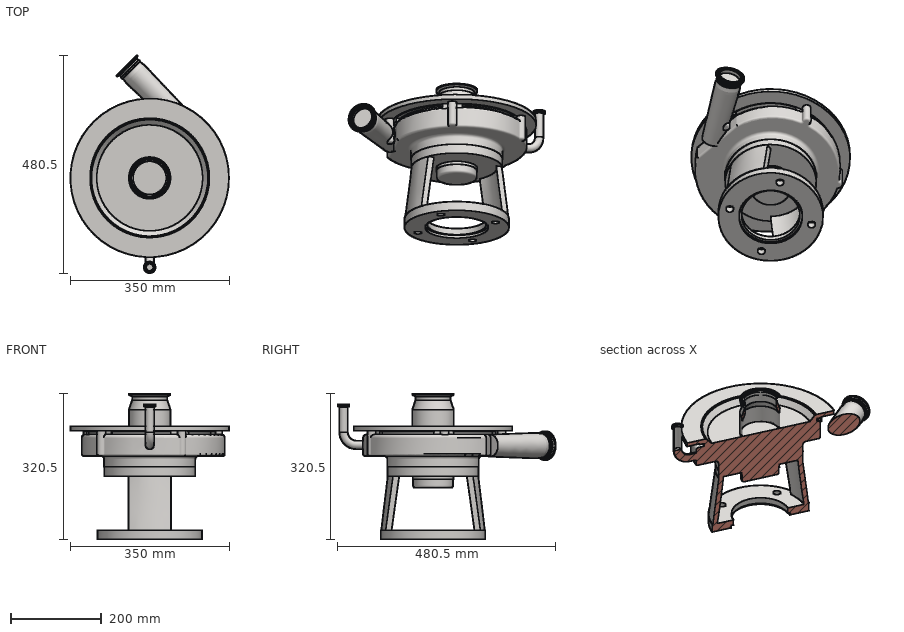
import cadquery as cq
import math

FOOT_TOP = 20.5
HUB_BOTTOM = 113.5
COLLAR_BOTTOM = 139.0
COLLAR_SPLIT = 159.5
CASING_BOTTOM = 183.5
CASING_TOP = 231.0
LID_BOTTOM = 239.0
LID_TOP = 249.5
INLET_TOP = 320.5

FOOT_RADIUS = 115.5
FOOT_BORE_RADIUS = 64.5
FOOT_RECESS_RADIUS = 69.5
FOOT_RECESS_DEPTH = 6.2
BOLT_HOLE_RADIUS = 8.0
BOLT_CIRCLE_RADIUS = 92.5
BOLT_HOLES = 4
BOLT_START_ANGLE = 45.0
LEG_WIDTH = 94.0
LEG_WALL = 12.0
LEG_RADIUS_BOTTOM = 114.5
LEG_RADIUS_TOP = 100.0

COLLAR_RADIUS = 101.0
COLLAR_LOWER_RADIUS = 100.5
COLLAR_FILLET = 6.5
HUB_RADIUS = 45.0
HUB_RADIUS_BOTTOM = 44.0
HUB_STEP = 132.0
HUB_FILLET = 5.5

CASING_BACK = 142.5
CASING_FRONT = 154.2
CASING_LEFT = 150.0
CASING_RIGHT = 166.0
CASING_ARC_JOIN_X = -1.5
CASING_RIGHT_Y = 3.5
CASING_END_REACH = 166.0
CASING_TOP_FILLET = 7.5
CASING_BOTTOM_FILLET = 5.0
SPIGOT_RADIUS = 134.5
SPIGOT_FLANGE_RADIUS = 145.0
SPIGOT_FLANGE_HEIGHT = 2.0
BOSS_RADIUS = 9.5
BOSS_CIRCLE_RADIUS = 152.5
BOSSES = 5
BOSS_START_ANGLE = 9.5
BOSS_SIDE_FILLET = 3.0
PAD_RADIUS = 24.0

LID_RADIUS = 175.0
DISH_RADIUS_TOP = 131.5
DISH_RADIUS_MIDDLE = 128.5
DISH_RADIUS_FLOOR = 117.0
DISH_EDGE_DEPTH = 1.5
DISH_FLOOR = 234.5

INLET_RADIUS = 46.0
INLET_NECK_RADIUS = 39.0
INLET_FLANGE_RADIUS = 45.5
INLET_SHOULDER = 286.0
INLET_NECK_BOTTOM = 307.0
INLET_NECK_TOP = 314.7
INLET_BORE_RADIUS = 36.5
INLET_WALL = 3.0
INLET_BORE_STEP = 291.0
INLET_BORE_SHOULDER = 275.0

OUTLET_ANGLE = 135.0
OUTLET_OFFSET = 139.5
OUTLET_HEIGHT = 206.5
OUTLET_START = 38.5
OUTLET_END = 211.0
OUTLET_FLANGE_RADIUS = 32.0
OUTLET_BORE_RADIUS = 23.5
OUTLET_BORE_DEPTH = 9.0
OUTLET_START_RADIUS = 24.5
OUTLET_BAND_RADIUS = 28.5
OUTLET_NECK_RADIUS = 27.0
OUTLET_BEAD_RADIUS = 28.0
OUTLET_BAND_START = 178.5
OUTLET_BAND_END = 185.5
OUTLET_NECK_START = 192.5
OUTLET_BEAD_START = 196.5
OUTLET_BEAD_END = 201.0

TUBE_RADIUS = 9.5
TUBE_BORE_RADIUS = 7.5
TUBE_HEIGHT = 208.0
TUBE_REACH = 197.0
TUBE_BEND_RADIUS = 28.5
TUBE_TOP = 297.5
TUBE_START = 144.0
TUBE_FLANGE_RADIUS = 13.0
TUBE_FLANGE_THICKNESS = 4.5
TUBE_FLANGE_CONE = 2.0

RIM_THICKNESS = 2.5
GROOVE_DEPTH = 1.0
INLET_GROOVE_RADII = (40.5, 43.2)
OUTLET_GROOVE_RADII = (27.0, 29.5)
TUBE_GROOVE_RADII = (9.5, 11.5)


def disc(radius, bottom, top, x=0.0, y=0.0):
    """Upright cylinder between two heights."""
    return cq.Workplane("XY", origin=(x, y, bottom)).circle(radius).extrude(top - bottom)


def revolve_profile(points):
    """Solid of revolution about Z from (radius, height) points."""
    return cq.Workplane("XZ").polyline(points).close().revolve(360, (0, 0, 0), (0, 1, 0))


def seal_groove(radii, top):
    """Ring to be cut from a flange face at the given height."""
    inner, outer = radii
    return disc(outer, top - GROOVE_DEPTH, top).cut(disc(inner, top - GROOVE_DEPTH, top))


def ring_points(count, radius, start_angle):
    """Points evenly spread on a circle about the Z axis."""
    angles = [math.radians(start_angle + i * 360 / count) for i in range(count)]
    return [(radius * math.cos(a), radius * math.sin(a)) for a in angles]


def make_foot():
    holes = ring_points(BOLT_HOLES, BOLT_CIRCLE_RADIUS, BOLT_START_ANGLE)
    foot = disc(FOOT_RADIUS, 0, FOOT_TOP).cut(disc(FOOT_BORE_RADIUS, 0, FOOT_TOP))
    bolt_holes = cq.Workplane("XY").pushPoints(holes).circle(BOLT_HOLE_RADIUS).extrude(FOOT_TOP)
    return foot.cut(bolt_holes).cut(disc(FOOT_RECESS_RADIUS, 0, FOOT_RECESS_DEPTH))


def make_legs():
    shell = revolve_profile([
        (LEG_RADIUS_BOTTOM - LEG_WALL, FOOT_TOP),
        (LEG_RADIUS_BOTTOM, FOOT_TOP),
        (LEG_RADIUS_TOP, COLLAR_BOTTOM),
        (LEG_RADIUS_TOP - LEG_WALL, COLLAR_BOTTOM),
    ])
    slab = cq.Workplane("XY").rect(LEG_WIDTH, 2 * FOOT_RADIUS).extrude(COLLAR_BOTTOM)
    return shell.intersect(slab)


def make_collar():
    fillet_start = CASING_BOTTOM - COLLAR_FILLET
    fillet_middle = COLLAR_FILLET * (1 - math.sqrt(0.5))
    upper = (
        cq.Workplane("XZ")
        .moveTo(0, COLLAR_SPLIT)
        .lineTo(COLLAR_RADIUS, COLLAR_SPLIT)
        .lineTo(COLLAR_RADIUS, fillet_start)
        .threePointArc(
            (COLLAR_RADIUS + fillet_middle, CASING_BOTTOM - fillet_middle),
            (COLLAR_RADIUS + COLLAR_FILLET, CASING_BOTTOM),
        )
        .lineTo(0, CASING_BOTTOM)
        .close()
        .revolve(360, (0, 0, 0), (0, 1, 0))
    )
    return upper.union(disc(COLLAR_LOWER_RADIUS, COLLAR_BOTTOM, COLLAR_SPLIT))


def make_hub():
    lower = disc(HUB_RADIUS_BOTTOM, HUB_BOTTOM, HUB_STEP).faces("<Z").edges().fillet(HUB_FILLET)
    return lower.union(disc(HUB_RADIUS, HUB_STEP, COLLAR_BOTTOM))


def make_casing():
    end = CASING_END_REACH * math.sqrt(0.5)
    height = CASING_TOP - CASING_BOTTOM
    boss_centres = ring_points(BOSSES, BOSS_CIRCLE_RADIUS, BOSS_START_ANGLE)
    casing = (
        cq.Workplane("XY", origin=(0, 0, CASING_BOTTOM))
        .moveTo(CASING_ARC_JOIN_X, CASING_BACK)
        .threePointArc(
            (-CASING_LEFT, (CASING_BACK - CASING_FRONT) / 2),
            (CASING_ARC_JOIN_X, -CASING_FRONT),
        )
        .threePointArc((CASING_RIGHT, CASING_RIGHT_Y), (end, end))
        .close()
        .extrude(height)
    )
    for x, y in boss_centres:
        casing = casing.union(disc(BOSS_RADIUS, CASING_BOTTOM, CASING_TOP, x, y))

    for x, y in boss_centres[2:]:
        around_boss = cq.selectors.BoxSelector(
            (x - BOSS_RADIUS, y - BOSS_RADIUS, CASING_BOTTOM),
            (x + BOSS_RADIUS, y + BOSS_RADIUS, CASING_TOP),
        )
        casing = casing.edges("|Z").edges(around_boss).fillet(BOSS_SIDE_FILLET)
    casing = casing.faces("<Z").edges().fillet(CASING_BOTTOM_FILLET)
    casing = casing.faces(">Z").edges().fillet(CASING_TOP_FILLET)

    for x, y in boss_centres:
        casing = casing.union(disc(BOSS_RADIUS, CASING_BOTTOM + height / 2, LID_BOTTOM, x, y))
    return casing


def make_spigot():
    """Ring that locates the lid, with a pad behind each boss and a thin flange on top."""
    pad_top = LID_BOTTOM - SPIGOT_FLANGE_HEIGHT
    pad_bottom = CASING_TOP - CASING_TOP_FILLET / 2
    spigot = disc(SPIGOT_RADIUS, pad_bottom, pad_top)
    for x, y in ring_points(BOSSES, BOSS_CIRCLE_RADIUS, BOSS_START_ANGLE):
        pad = disc(PAD_RADIUS, pad_bottom, pad_top, x, y)
        spigot = spigot.union(pad.intersect(disc(SPIGOT_FLANGE_RADIUS, pad_bottom, pad_top)))
    return spigot.union(disc(SPIGOT_FLANGE_RADIUS, pad_top, LID_BOTTOM))


def make_dish():
    return revolve_profile([
        (0, DISH_FLOOR),
        (DISH_RADIUS_FLOOR, DISH_FLOOR),
        (DISH_RADIUS_MIDDLE, LID_TOP - DISH_EDGE_DEPTH),
        (DISH_RADIUS_TOP, LID_TOP),
        (0, LID_TOP),
    ])


def make_inlet():
    inlet = revolve_profile([
        (0, DISH_FLOOR),
        (INLET_RADIUS, DISH_FLOOR),
        (INLET_RADIUS, INLET_SHOULDER),
        (INLET_NECK_RADIUS, INLET_NECK_BOTTOM),
        (INLET_NECK_RADIUS, INLET_NECK_TOP),
        (INLET_FLANGE_RADIUS, INLET_TOP - RIM_THICKNESS),
        (INLET_FLANGE_RADIUS, INLET_TOP),
        (0, INLET_TOP),
    ])
    return inlet.cut(seal_groove(INLET_GROOVE_RADII, INLET_TOP))


def make_inlet_bore():
    wide_radius = INLET_RADIUS - INLET_WALL
    return revolve_profile([
        (0, DISH_FLOOR),
        (wide_radius, DISH_FLOOR),
        (wide_radius, INLET_BORE_SHOULDER),
        (INLET_BORE_RADIUS, INLET_BORE_STEP),
        (INLET_BORE_RADIUS, INLET_TOP),
        (0, INLET_TOP),
    ])


def make_outlet():
    """Outlet pipe turned about Z, then laid along its diagonal direction."""
    end = OUTLET_END
    pipe = revolve_profile([
        (0, OUTLET_START),
        (OUTLET_START_RADIUS, OUTLET_START),
        (OUTLET_BAND_RADIUS, OUTLET_BAND_START),
        (OUTLET_BAND_RADIUS, OUTLET_BAND_END),
        (OUTLET_NECK_RADIUS, OUTLET_NECK_START),
        (OUTLET_NECK_RADIUS, OUTLET_BEAD_START),
        (OUTLET_BEAD_RADIUS, OUTLET_BEAD_START),
        (OUTLET_BEAD_RADIUS, OUTLET_BEAD_END),
        (OUTLET_NECK_RADIUS, OUTLET_BEAD_END),
        (OUTLET_NECK_RADIUS, end - 2 * RIM_THICKNESS),
        (OUTLET_FLANGE_RADIUS, end - RIM_THICKNESS),
        (OUTLET_FLANGE_RADIUS, end),
        (0, end),
    ])
    pipe = pipe.cut(disc(OUTLET_BORE_RADIUS, end - OUTLET_BORE_DEPTH, end))
    pipe = pipe.cut(seal_groove(OUTLET_GROOVE_RADII, end))
    pipe = pipe.rotate((0, 0, 0), (0, 1, 0), 90)
    pipe = pipe.translate((0, -OUTLET_OFFSET, OUTLET_HEIGHT))
    return pipe.rotate((0, 0, 0), (0, 0, 1), OUTLET_ANGLE)


def make_tube():
    bend_height = TUBE_HEIGHT + TUBE_BEND_RADIUS
    run_end = TUBE_REACH - TUBE_BEND_RADIUS
    path = (
        cq.Workplane("YZ")
        .moveTo(-TUBE_START, TUBE_HEIGHT)
        .lineTo(-run_end, TUBE_HEIGHT)
        .radiusArc((-TUBE_REACH, bend_height), TUBE_BEND_RADIUS)
        .lineTo(-TUBE_REACH, TUBE_TOP)
    )
    tube = cq.Workplane("XZ", origin=(0, -TUBE_START, TUBE_HEIGHT)).circle(TUBE_RADIUS).sweep(path)
    rim_bottom = TUBE_TOP - TUBE_FLANGE_THICKNESS
    cone_bottom = rim_bottom - TUBE_FLANGE_CONE
    flange = revolve_profile([
        (0, cone_bottom),
        (TUBE_RADIUS, cone_bottom),
        (TUBE_FLANGE_RADIUS, rim_bottom),
        (TUBE_FLANGE_RADIUS, TUBE_TOP),
        (0, TUBE_TOP),
    ])
    flange = flange.cut(seal_groove(TUBE_GROOVE_RADII, TUBE_TOP))
    tube = tube.union(flange.translate((0, -TUBE_REACH, 0)))
    return tube.cut(disc(TUBE_BORE_RADIUS, bend_height, TUBE_TOP, 0, -TUBE_REACH))


result = make_casing().union(make_spigot()).union(disc(LID_RADIUS, LID_BOTTOM, LID_TOP))
result = result.cut(make_dish()).union(make_inlet()).cut(make_inlet_bore())
for piece in (make_foot(), make_legs(), make_collar(), make_hub(), make_outlet(), make_tube()):
    result = result.union(piece)